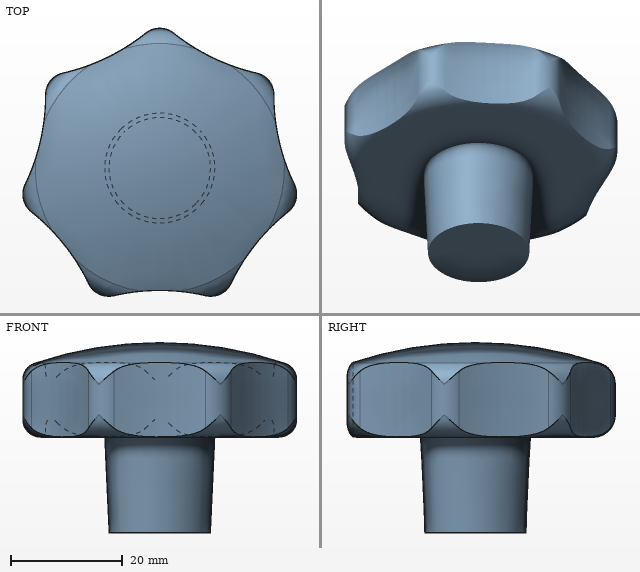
import cadquery as cq
import math

overall_width = 48.95
overall_height = 34.0
lobe_count = 7
lobe_radius = 4.0
scallop_depth_radius = 21.9
rim_radius = 4.0
stem_height = 17.1
stem_bottom_radius = 9.05
stem_top_radius = 9.85
dome_radius = 69.5

pitch = 2 * math.pi / lobe_count
lobe_center_radius = (overall_width / 2 - lobe_radius) / math.cos(pitch / 4)
head_radius = lobe_center_radius + lobe_radius

half_chord = lobe_center_radius * math.sin(pitch / 2)
chord_distance = lobe_center_radius * math.cos(pitch / 2)
floor_offset = scallop_depth_radius - chord_distance
scallop_radius = (half_chord**2 + floor_offset**2 - lobe_radius**2) / (2 * (lobe_radius - floor_offset))
scallop_center_radius = scallop_depth_radius + scallop_radius
tangent_fraction = lobe_radius / (lobe_radius + scallop_radius)


def polar(radius, angle):
    return (radius * math.cos(angle), radius * math.sin(angle))


def tangent_point(lobe_angle, scallop_angle):
    """Point where a lobe arc meets the neighbouring scallop arc."""
    lobe = polar(lobe_center_radius, lobe_angle)
    scallop = polar(scallop_center_radius, scallop_angle)
    return tuple(a + tangent_fraction * (b - a) for a, b in zip(lobe, scallop))


def lobed_prism():
    """Full-height prism with the lobed outline, one lobe on +Y."""
    first_lobe = math.pi / 2
    outline = cq.Workplane("XY").moveTo(*tangent_point(first_lobe, first_lobe - pitch / 2))
    for index in range(lobe_count):
        lobe = first_lobe + index * pitch
        scallop = lobe + pitch / 2
        outline = outline.threePointArc(polar(head_radius, lobe), tangent_point(lobe, scallop))
        outline = outline.threePointArc(
            polar(scallop_depth_radius, scallop), tangent_point(lobe + pitch, scallop)
        )
    return outline.close().extrude(overall_height)


def domed_disc():
    """Round head with a spherical top and a rounded rim, tangent to the dome."""
    rim_center = head_radius - rim_radius
    dome_center_z = overall_height - dome_radius
    dome_slope = math.asin(rim_center / (dome_radius - rim_radius))
    upper_rim_z = dome_center_z + (dome_radius - rim_radius) * math.cos(dome_slope)
    lower_rim_z = stem_height + rim_radius

    def dome_point(angle):
        return (dome_radius * math.sin(angle), dome_center_z + dome_radius * math.cos(angle))

    def rim_point(center_z, elevation):
        dx, dz = polar(rim_radius, elevation)
        return (rim_center + dx, center_z + dz)

    upper_mid = (math.pi / 2 - dome_slope) / 2
    profile = (
        cq.Workplane("XZ")
        .moveTo(0, stem_height)
        .lineTo(rim_center, stem_height)
        .threePointArc(rim_point(lower_rim_z, -math.pi / 4), (head_radius, lower_rim_z))
        .lineTo(head_radius, upper_rim_z)
        .threePointArc(rim_point(upper_rim_z, upper_mid), dome_point(dome_slope))
        .threePointArc(dome_point(dome_slope / 2), (0, overall_height))
        .close()
    )
    return profile.revolve(360, (0, 0, 0), (0, 1, 0))


def stem():
    """Tapered stem, wider where it meets the head."""
    return (
        cq.Workplane("XY")
        .circle(stem_bottom_radius)
        .workplane(offset=stem_height)
        .circle(stem_top_radius)
        .loft()
    )


head = domed_disc().intersect(lobed_prism())
result = head.union(stem())